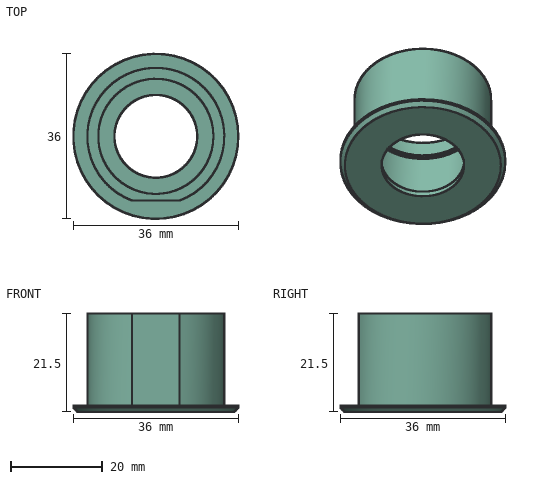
import cadquery as cq

total_height = 21.5

flange_diameter = 36.0
flange_thickness = 1.5
flange_chamfer = 1.0

body_diameter = 29.85
flat_distance = 14.0

bore_diameter = 25.1
floor_thickness = flange_thickness
floor_hole_diameter = 18.0

groove_diameter = 26.3
groove_width = 1.2
groove_depth_from_top = 4.1


def cylinder(diameter, bottom, top):
    """Solid cylinder on the Z axis between two heights."""
    return cq.Workplane("XY").workplane(offset=bottom).circle(diameter / 2).extrude(top - bottom)


def make_flange():
    """Disc with a chamfered lower rim."""
    return cylinder(flange_diameter, 0, flange_thickness).faces("<Z").edges().chamfer(flange_chamfer)


def make_body():
    """Round sleeve above the flange, trimmed by the flat."""
    body = cylinder(body_diameter, flange_thickness, total_height)
    keep_depth = flat_distance + body_diameter / 2
    keep = (
        cq.Workplane("XY")
        .box(body_diameter, keep_depth, total_height, centered=(True, False, False))
        .translate((0, -flat_distance, 0))
    )
    return body.intersect(keep)


def make_cavity():
    """Everything removed along the axis: floor hole, bore and ring groove."""
    groove_top = total_height - groove_depth_from_top
    floor_hole = cylinder(floor_hole_diameter, 0, total_height)
    bore = cylinder(bore_diameter, floor_thickness, total_height)
    groove = cylinder(groove_diameter, groove_top - groove_width, groove_top)
    return floor_hole.union(bore).union(groove)


result = make_flange().union(make_body()).cut(make_cavity())